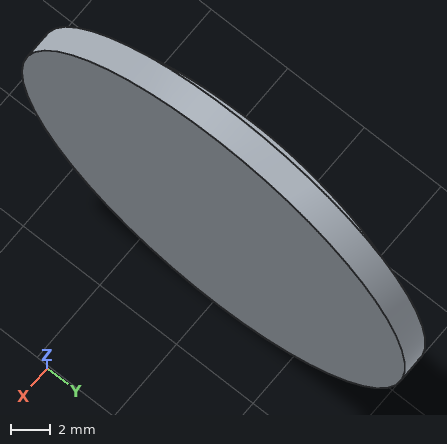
import cadquery as cq

diameter = 25.0
total_thickness = 4.1
edge_thickness = 1.65

radius = diameter / 2
dome_height = total_thickness - edge_thickness
sphere_radius = (radius**2 + dome_height**2) / (2 * dome_height)

mid_radius = radius / 2
sphere_center_x = sphere_radius - total_thickness
mid_x = sphere_center_x - (sphere_radius**2 - mid_radius**2) ** 0.5

half_section = (
    cq.Workplane("XY")
    .moveTo(0, 0)
    .lineTo(0, -radius)
    .lineTo(-edge_thickness, -radius)
    .threePointArc((mid_x, -mid_radius), (-total_thickness, 0))
    .close()
)
result = half_section.revolve(360, (0, 0, 0), (1, 0, 0))